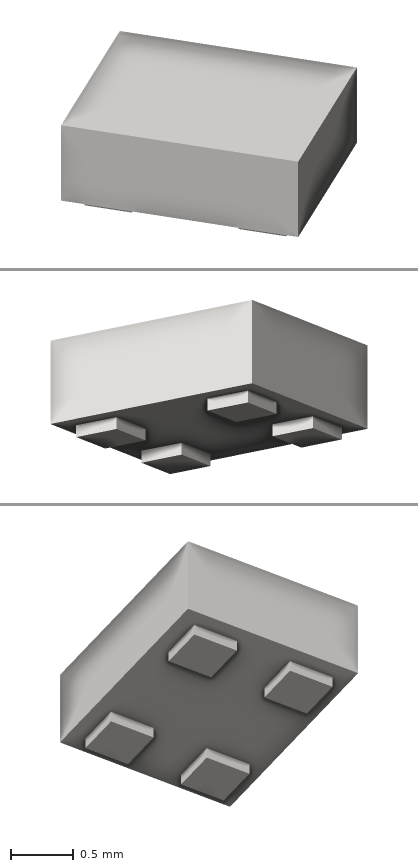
import cadquery as cq

body_length = 2.0
body_width = 1.6
overall_height = 0.8

pad_side = 0.4
pad_thickness = 0.1
pad_inset = 0.15

body_height = overall_height - pad_thickness
pad_center_x = body_length / 2 - pad_inset - pad_side / 2
pad_center_y = body_width / 2 - pad_inset - pad_side / 2


def make_body():
    """Plain block resting on top of the pads."""
    block = cq.Workplane("XY").box(body_length, body_width, body_height, centered=(True, True, False))
    return block.translate((0, 0, pad_thickness))


def make_pad(center_x, center_y):
    """Square pad standing on the base plane and touching the body's underside."""
    pad = cq.Workplane("XY").box(pad_side, pad_side, pad_thickness, centered=(True, True, False))
    return pad.translate((center_x, center_y, 0))


body = make_body()
pads = [
    make_pad(center_x, center_y)
    for center_x in (-pad_center_x, pad_center_x)
    for center_y in (-pad_center_y, pad_center_y)
]

result = cq.Compound.makeCompound([body.val(), *[pad.val() for pad in pads]])